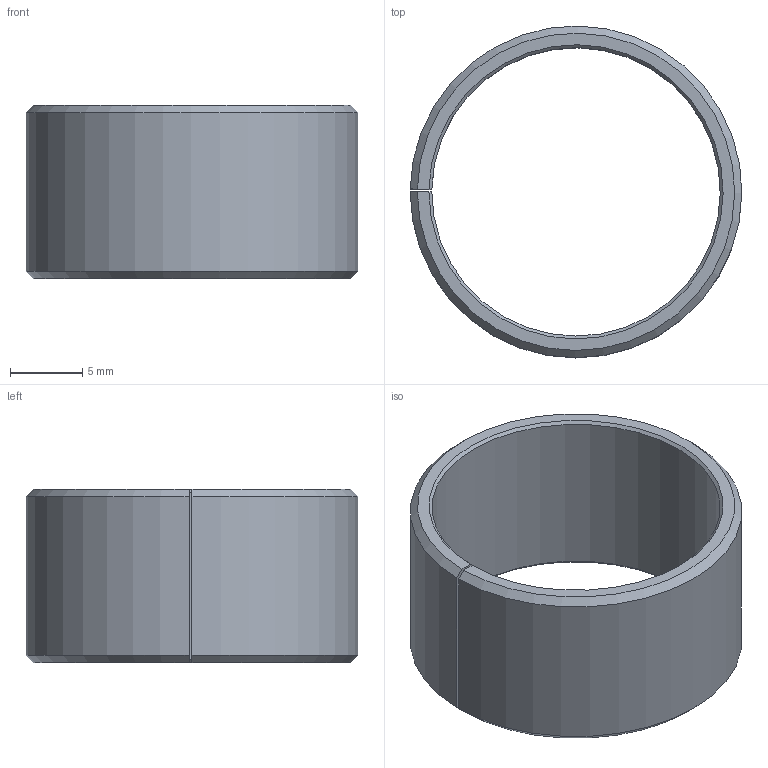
import cadquery as cq

outer_diameter = 23.0
bore_diameter = 20.0
length = 12.0
outer_chamfer = 0.5
bore_chamfer = 0.2
slit_angle = 1.0

outer_radius = outer_diameter / 2
bore_radius = bore_diameter / 2
half_length = length / 2


def make_wall_section():
    """Wall section on the -X side of the XZ plane, chamfered at all four rim edges."""
    section = [
        (-bore_radius, -half_length + bore_chamfer),
        (-bore_radius - bore_chamfer, -half_length),
        (-outer_radius + outer_chamfer, -half_length),
        (-outer_radius, -half_length + outer_chamfer),
        (-outer_radius, half_length - outer_chamfer),
        (-outer_radius + outer_chamfer, half_length),
        (-bore_radius - bore_chamfer, half_length),
        (-bore_radius, half_length - bore_chamfer),
    ]
    return cq.Workplane("XZ").polyline(section).close()


def make_split_sleeve():
    """Revolve the section about Z, stopping short of a full turn to leave the slit."""
    return make_wall_section().revolve(360 - slit_angle, (0, 0, 0), (0, 1, 0))


result = make_split_sleeve()